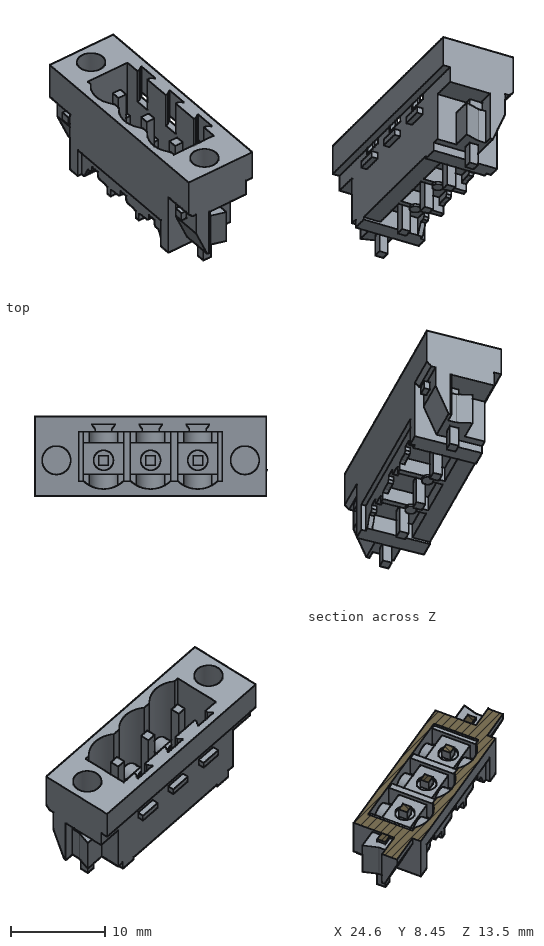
import cadquery as cq


PITCH = 5.0
CONTACT_COUNT = 3
ROW_Y = 3.8
PIN_SIZE = 1.0
PIN_BOTTOM = -1.5
CONTACT_TOP = 10.95
MOUNT_X = 2 * PITCH
CONTACT_XS = [(i - (CONTACT_COUNT - 1) / 2) * PITCH for i in range(CONTACT_COUNT)]
DIVIDER_XS = [x + PITCH / 2 for x in CONTACT_XS[:-1]]

WIDTH = 24.53
HALF_WIDTH = WIDTH / 2
TIP_PROJECTION = 0.07
TOP_Z = 12.0
FLANGE_BACK_Y = 8.45
FLANGE_BOTTOM = 8.46
BACK_Y = 7.63
CORE_HALF_WIDTH = 8.68
WING_BOTTOM = 0.98

UNDERCUT_DEPTH = 0.98
UNDERCUT_TOP = 7.1
UNDERCUT_CHAMFER = 0.5
SLOPE_TOP = 4.5
SLOPE_FOOT_Y = 2.45

RECESS_FRONT_Y = 2.8
RECESS_TOP = 6.62
RECESS_DEPTH = HALF_WIDTH - MOUNT_X + PIN_SIZE / 2
BLOCK_TOP = 4.97
BLOCK_BACK_Y = 5.36
BLOCK_BEVEL_Y = 3.71
BLOCK_BACK_INSET = 0.5
BLOCK_FRONT_INSET = 1.0
TIP_LENGTH = 0.15

BORE_DIAMETER = 3.03
BORE_DEPTH = 4.0
MOUNT_BAR_TOP = 6.45
MOUNT_TIP_Y = 0.37

POCKET_HALF_WIDTH = 7.6
POCKET_FRONT_Y = 1.55
POCKET_BACK_Y = 6.81
RIB_TOP = 5.0
DECK_TOP = 4.5
DECK_FRONT_Y = 2.3
DECK_BACK_Y = 5.63
WELL_FLOOR = 2.65
WELL_HALF_WIDTH = 2.15
SCALLOP_RADIUS = 3.05
BARREL_RADIUS = 1.5
RING_DIAMETER = 2.12
RING_DEPTH = 0.3

SLOT_FLOOR = 7.82
SLOT_NECK_HALF = 0.89
SLOT_HALF = 1.2
SLOT_NECK_BACK_Y = 7.08
SLOT_FLARE_BACK_Y = 7.53
NUB_TOP = 6.67
NUB_BOTTOM = 5.93
NUB_BACK_Y = 8.31

PANEL_HALF_WIDTH = 7.3
PANEL_TOP = 3.57
PANEL_Y = 0.52
PANEL_BACK_Y = 1.08
UNDERSIDE_Z = 0.3
HOLLOW_TOP = 2.16
OPENING_TOP = 1.35
OPENING_FLAT_HALF = 1.72
OPENING_SHOULDER = 1.2
OPENING_OUTER_TOP = 1.23
OPENING_OUTER_FOOT = 1.87
FLARE_TOP = 1.65
FLARE_HALF = 0.71
DIVIDER_WIDTH = 0.6
POST_DIAMETER = 1.23


def box(x0, x1, y0, y1, z0, z1):
    """Axis-aligned box between two corners."""
    return cq.Workplane("XY").box(x1 - x0, y1 - y0, z1 - z0, centered=False).translate((x0, y0, z0))


def prism_y(points, y0, y1):
    """XZ outline extruded from y0 to y1."""
    return cq.Workplane("XZ", origin=(0, y0, 0)).polyline(points).close().extrude(y0 - y1)


def prism_z(points, z0, z1):
    """XY outline extruded from z0 to z1."""
    return cq.Workplane("XY", origin=(0, 0, z0)).polyline(points).close().extrude(z1 - z0)


def both_sides(solid):
    """The solid together with its mirror image in the YZ plane."""
    return solid.union(solid.mirror("YZ"))


def contact(x):
    half = PIN_SIZE / 2
    return box(x - half, x + half, ROW_Y - half, ROW_Y + half, PIN_BOTTOM, CONTACT_TOP)


def mounting_pin(x):
    half = PIN_SIZE / 2
    leg = box(x - half, x + half, ROW_Y - half, ROW_Y + half, PIN_BOTTOM, MOUNT_BAR_TOP)
    bar = box(x - half, x + half, MOUNT_TIP_Y, ROW_Y + half, MOUNT_BAR_TOP - PIN_SIZE, MOUNT_BAR_TOP)
    return leg.union(bar)


def housing_core():
    """Top flange, central core down to the board, and a wing at each end."""
    flange = box(-HALF_WIDTH, HALF_WIDTH, 0, FLANGE_BACK_Y, FLANGE_BOTTOM, TOP_Z)
    wings = box(-HALF_WIDTH, HALF_WIDTH, 0, BACK_Y, WING_BOTTOM, FLANGE_BOTTOM)
    core = box(-CORE_HALF_WIDTH, CORE_HALF_WIDTH, 0, BACK_Y, 0, FLANGE_BOTTOM)
    return flange.union(wings).union(core)


def wing_undercuts():
    """Cut in the front of each wing: chamfered at the top, sloping back at the bottom."""
    outline = [
        (0, UNDERCUT_TOP + UNDERCUT_CHAMFER),
        (UNDERCUT_CHAMFER, UNDERCUT_TOP),
        (UNDERCUT_DEPTH, UNDERCUT_TOP),
        (UNDERCUT_DEPTH, SLOPE_TOP),
        (SLOPE_FOOT_Y, WING_BOTTOM),
        (0, WING_BOTTOM),
    ]
    length = HALF_WIDTH - CORE_HALF_WIDTH
    cut = cq.Workplane("YZ", origin=(-HALF_WIDTH, 0, 0)).polyline(outline).close().extrude(length)
    return both_sides(cut)


def side_recesses():
    """Recess in each wing end, open to the back and below, less the bevelled block left in it."""
    left = -HALF_WIDTH
    floor = left + RECESS_DEPTH
    block_outline = [
        (floor, RECESS_FRONT_Y),
        (left + BLOCK_FRONT_INSET, RECESS_FRONT_Y),
        (left + BLOCK_FRONT_INSET, BLOCK_BEVEL_Y),
        (left + BLOCK_BACK_INSET, BLOCK_BACK_Y),
        (floor, BLOCK_BACK_Y),
    ]
    recess = box(left, floor, RECESS_FRONT_Y, BACK_Y, WING_BOTTOM, RECESS_TOP)
    return both_sides(recess.cut(prism_z(block_outline, WING_BOTTOM, BLOCK_TOP)))


def side_tip():
    """Small sharp lip on the edge of the right-hand recess."""
    outline = [
        (HALF_WIDTH - TIP_PROJECTION, RECESS_FRONT_Y),
        (HALF_WIDTH + TIP_PROJECTION, RECESS_FRONT_Y),
        (HALF_WIDTH, RECESS_FRONT_Y - TIP_LENGTH),
        (HALF_WIDTH - TIP_PROJECTION, RECESS_FRONT_Y - TIP_LENGTH),
    ]
    return prism_z(outline, WING_BOTTOM, RECESS_TOP)


def screw_bores():
    return (
        cq.Workplane("XY", origin=(0, 0, TOP_Z - BORE_DEPTH))
        .pushPoints([(-MOUNT_X, ROW_Y), (MOUNT_X, ROW_Y)])
        .circle(BORE_DIAMETER / 2)
        .extrude(BORE_DEPTH)
    )


def contact_well(x):
    """Well around one contact: scalloped front, central deck with a ring, a barrel underneath."""
    left = x - WELL_HALF_WIDTH
    right = x + WELL_HALF_WIDTH
    well = box(left, right, POCKET_FRONT_Y, POCKET_BACK_Y, WELL_FLOOR, TOP_Z)
    scallop = (
        cq.Workplane("XY", origin=(x, ROW_Y, WELL_FLOOR))
        .circle(SCALLOP_RADIUS)
        .extrude(TOP_Z - WELL_FLOOR)
        .intersect(box(left, right, 0, POCKET_FRONT_Y, WELL_FLOOR, TOP_Z))
    )
    deck = box(left, right, DECK_FRONT_Y, DECK_BACK_Y, WELL_FLOOR, DECK_TOP)
    ring = (
        cq.Workplane("XY", origin=(x, ROW_Y, DECK_TOP - RING_DEPTH))
        .circle(RING_DIAMETER / 2)
        .extrude(RING_DEPTH)
    )
    barrel = (
        cq.Workplane("XZ", origin=(x, 0, WELL_FLOOR))
        .circle(BARREL_RADIUS)
        .extrude(-POCKET_BACK_Y)
    )
    return well.union(scallop).cut(deck.cut(ring)).cut(barrel)


def coding_slot(x):
    """Dovetail slot behind one contact; it breaks out through the back below the flange."""
    half_outline = [
        (SLOT_NECK_HALF, POCKET_BACK_Y),
        (SLOT_NECK_HALF, SLOT_NECK_BACK_Y),
        (SLOT_HALF, SLOT_FLARE_BACK_Y),
        (SLOT_HALF, BACK_Y),
    ]
    outline = [(x + dx, y) for dx, y in half_outline]
    outline += [(x - dx, y) for dx, y in reversed(half_outline)]
    return prism_z(outline, SLOT_FLOOR, TOP_Z)


def back_nub(x):
    return box(x - SLOT_HALF, x + SLOT_HALF, BACK_Y, NUB_BACK_Y, NUB_BOTTOM, NUB_TOP)


def plug_pocket():
    pocket = box(
        -POCKET_HALF_WIDTH, POCKET_HALF_WIDTH, POCKET_FRONT_Y, POCKET_BACK_Y, RIB_TOP, TOP_Z
    )
    for x in CONTACT_XS:
        pocket = pocket.union(contact_well(x)).union(coding_slot(x))
    return pocket


def panel_opening(x):
    """Opening in the front panel at one contact, sloped on a side that faces a housing end."""
    half = PIN_SIZE / 2
    divider_side = (PITCH - DIVIDER_WIDTH) / 2
    slot_edge = [(FLARE_HALF, OPENING_TOP), (half, FLARE_TOP), (half, HOLLOW_TOP)]
    inner_edge = [
        (divider_side, 0),
        (divider_side, OPENING_SHOULDER),
        (OPENING_FLAT_HALF, OPENING_TOP),
    ]
    outer_edge = [(OPENING_OUTER_FOOT, 0), (OPENING_OUTER_TOP, OPENING_TOP)]
    right = (outer_edge if x == CONTACT_XS[-1] else inner_edge) + slot_edge
    left = (outer_edge if x == CONTACT_XS[0] else inner_edge) + slot_edge
    outline = [(x + dx, z) for dx, z in right] + [(x - dx, z) for dx, z in reversed(left)]
    return prism_y(outline, PANEL_Y, PANEL_BACK_Y)


def underside():
    """Everything cut from the front and below between the two feet of the core."""
    outer = CONTACT_XS[-1] + OPENING_OUTER_FOOT
    cut = box(-PANEL_HALF_WIDTH, PANEL_HALF_WIDTH, 0, PANEL_Y, 0, PANEL_TOP)
    cut = cut.union(box(-outer, outer, PANEL_BACK_Y, BACK_Y, 0, UNDERSIDE_Z))
    hollow = box(-outer, outer, PANEL_BACK_Y, DECK_BACK_Y, 0, HOLLOW_TOP)
    for x in DIVIDER_XS:
        half = DIVIDER_WIDTH / 2
        divider = box(x - half, x + half, PANEL_Y, DECK_BACK_Y, UNDERSIDE_Z, HOLLOW_TOP)
        foot = box(x - half, x + half, PANEL_Y, PANEL_BACK_Y, 0, UNDERSIDE_Z)
        hollow = hollow.cut(divider).union(foot)
    for x in CONTACT_XS:
        hollow = hollow.union(panel_opening(x))
    return cut.union(hollow)


def standoff_posts():
    return (
        cq.Workplane("XY")
        .pushPoints([(x, ROW_Y) for x in DIVIDER_XS])
        .circle(POST_DIAMETER / 2)
        .extrude(UNDERSIDE_Z)
    )


contacts = [contact(x) for x in CONTACT_XS]
mounting_pins = [mounting_pin(x) for x in (-MOUNT_X, MOUNT_X)]

housing = housing_core()
housing = housing.cut(wing_undercuts()).cut(side_recesses())
housing = housing.union(side_tip())
housing = housing.cut(screw_bores()).cut(plug_pocket()).cut(underside())
housing = housing.union(standoff_posts())
for contact_x in CONTACT_XS:
    housing = housing.union(back_nub(contact_x))
for pin in contacts + mounting_pins:
    housing = housing.cut(pin)

pin_solids = [pin.val() for pin in contacts + mounting_pins]
result = cq.Compound.makeCompound([*housing.vals(), *pin_solids])